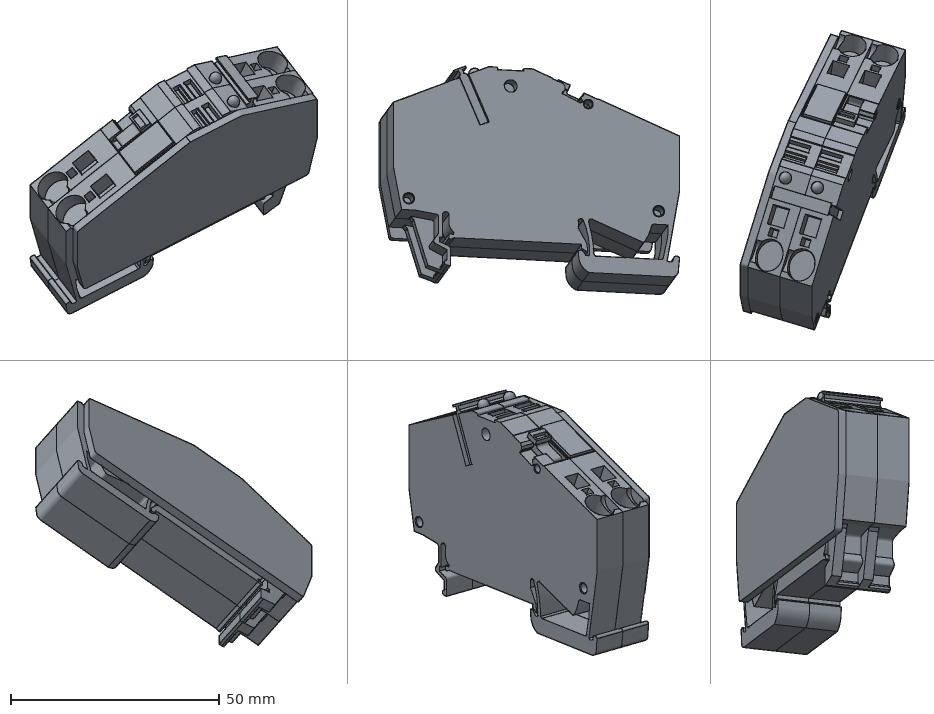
import cadquery as cq
import math

module_width = 8.1
module_count = 2
end_plate_width = 1.95
half_length = 35
crest_z = 50.0
rear_crest_y = 11.6
front_crest_y = 1.0
rear_slope_end_z = 39.9
front_slope_end_z = 35.1
rear_waist_z = 23.95
front_waist_z = 21.5
rear_wall_foot = (33.0, 13.3)
front_wall_foot = (-32.0, 4.0)
base_z = 6.9

rear_angle = math.degrees(math.atan2(crest_z - rear_slope_end_z, half_length - rear_crest_y))
front_angle = math.degrees(math.atan2(crest_z - front_slope_end_z, half_length + front_crest_y))

plate_top_z = 49.1
plate_bottom_z = 10.6
plate_front_inset = 1.95
plate_corner_radius = 0.85
plate_crest_radius = 2.25

entry_x, entry_y = 4.1, 31.15
entry_width, entry_length, entry_depth = 6.8, 7.85, 5.3
side_relief_start_x, side_relief_radius = 6.7, 2.7
window_x, window_y = 4.6, 22.3
window_width, window_length, window_depth = 4.1, 4.8, 5.8
test_x, test_y = 4.6, 26.1
test_width, test_length, test_depth = 2.2, 1.95, 6.3

channel_front_y, channel_rear_y = 3.1, 9.45
channel_depth, channel_rear_radius = 0.6, 0.4
groove_start_x = 2.65
groove_edges = ((8.75, 6.8), (3.85, 5.8))
groove_depth, groove_step_depth, groove_step_width = 1.8, 0.9, 0.55

slot_y = 17.65
slot_width, slot_depth = 2.4, 12.6
strip_start_x, strip_length = 1.05, 14.4
strip_clearance = 0.2
strip_shoulder, strip_neck_width, strip_neck_start = 0.3, 1.0, 0.85
strip_cap_width, strip_cap_start, strip_cap_thickness = 3.1, 1.8, 0.5

lamp_x, lamp_y = 5.75, 13.8
lamp_radius, lamp_collar, lamp_depth = 1.5, 0.5, 1.4

seat_start_y, seat_end_y = -3.85, -15.1
seat_width, seat_depth = 7.9, 0.15
cover_start_x, cover_end_x = 0.2, 7.5
cover_margin, cover_height = 0.2, 0.6

tray_start_x, tray_end_x = 3.7, 7.5
tray_start_y, tray_end_y = -7.0, -14.9
tray_depth, tray_end_radius = 2.65, 1.05
tongue_start_y, tongue_end_y = -8.3, -13.7
tongue_top_depth, tongue_radius = 1.0, 0.7
knob_start_x, knob_start_y, knob_end_y = 3.1, -5.45, -8.4
knob_height = 1.25
knob_pocket_start_y, knob_pocket_end_y, knob_pocket_depth = -6.5, -7.9, 0.9

sockets = (
    (6.3, 45.4, 1.55, 0),
    (-12.7, 41.9, 1.0, 0.2),
    (31.2, 16.2, 1.2, 0.2),
    (-29.9, 16.2, 1.2, 0.2),
)
socket_depth = 3.5

clip_web_thickness = 2.5
margin = 1.4


def box(x_range, y_range, z_range):
    """Box between the given limits."""
    size = [max(r) - min(r) for r in (x_range, y_range, z_range)]
    corner = [min(r) for r in (x_range, y_range, z_range)]
    return cq.Workplane("XY").box(*size, centered=False).translate(tuple(corner))


def prism(points, start_x, width):
    """Polygon in the YZ plane extruded along +X."""
    return cq.Workplane("YZ", origin=(start_x, 0, 0)).polyline(points).close().extrude(width)


def rear_place(shape, y):
    """Move a shape from the origin to the rear slope at y, Z becoming the slope normal."""
    z = crest_z - (y - rear_crest_y) * math.tan(math.radians(rear_angle))
    return shape.rotate((0, 0, 0), (1, 0, 0), -rear_angle).translate((0, y, z))


def front_place(shape, y):
    """Move a shape from the origin to the front slope at y, Z becoming the slope normal."""
    z = crest_z - (front_crest_y - y) * math.tan(math.radians(front_angle))
    return shape.rotate((0, 0, 0), (1, 0, 0), front_angle).translate((0, y, z))


def front_run(start_y, end_y):
    """Distance along the front slope between two Y positions."""
    return (start_y - end_y) / math.cos(math.radians(front_angle))


def nearest_edge(x, y, z):
    """Selector for the edge whose centre is nearest to a point."""
    return cq.selectors.NearestToPointSelector((x, y, z))


def housing_body():
    """Side outline with the clip leg at the rear and the release foot at the front."""
    outline = (
        cq.Workplane("YZ")
        .moveTo(half_length, rear_waist_z)
        .lineTo(half_length, rear_slope_end_z)
        .lineTo(rear_crest_y, crest_z)
        .lineTo(front_crest_y, crest_z)
        .lineTo(-half_length, front_slope_end_z)
        .lineTo(-half_length, front_waist_z)
        .lineTo(*front_wall_foot)
        .threePointArc((-32.7, 3.7), (-33.5, 4.5))
        .threePointArc((-34.3, 5.25), (-35.0, 4.7))
        .lineTo(-34.7, 1.9)
        .threePointArc((-34.4, 0.6), (-33.3, 0))
        .lineTo(-12.9, 0)
        .threePointArc((-11.3, 1.25), (-10.35, 3.4))
        .lineTo(-10.2, 5.4)
        .lineTo(-11.3, 5.4)
        .lineTo(-12.05, 4.35)
        .threePointArc((-12.5, 4.2), (-12.95, 4.5))
        .threePointArc((-12.6, 9.2), (-11.4, 13.0))
        .threePointArc((-10.8, 13.3), (-10.2, 12.8))
        .lineTo(-10.2, 10.9)
        .lineTo(-12.3, 7.2)
        .lineTo(-12.5, 5.05)
        .lineTo(-11.05, 5.95)
        .lineTo(-11.05, base_z)
        .lineTo(20.1, base_z)
        .lineTo(20.9, 6.5)
        .lineTo(21.4, 6.7)
        .lineTo(21.4, 7.8)
        .lineTo(20.3, 7.8)
        .lineTo(20.15, 8.25)
        .threePointArc((20.9, 9.1), (21.4, 10.5))
        .lineTo(21.4, 12.75)
        .threePointArc((22.2, 13.3), (22.95, 12.75))
        .lineTo(22.95, base_z)
        .lineTo(23.65, base_z)
        .lineTo(23.65, 5.75)
        .lineTo(21.55, 4.9)
        .threePointArc((21.15, 4.55), (21.0, 4.05))
        .lineTo(21.0, 0)
        .lineTo(21.8, 0)
        .lineTo(22.5, 0.35)
        .lineTo(22.5, 1.0)
        .lineTo(21.85, 1.55)
        .lineTo(21.85, 3.85)
        .lineTo(24.85, 5.3)
        .threePointArc((25.1, 5.8), (25.0, 6.4))
        .lineTo(23.95, 7.85)
        .lineTo(23.95, 11.9)
        .threePointArc((24.15, 12.4), (24.7, 12.6))
        .lineTo(29.6, 13.3)
        .lineTo(*rear_wall_foot)
        .close()
    )
    return outline.extrude(module_width)


def foot_window():
    """Opening between the legs of the release foot."""
    outline = (
        cq.Workplane("YZ", origin=(-margin, 0, 0))
        .moveTo(-12.75, 12.5)
        .threePointArc((-13.0, 13.2), (-13.8, 13.2))
        .lineTo(-25.75, 8.3)
        .threePointArc((-26.25, 8.25), (-26.5, 8.55))
        .lineTo(-27.45, 10.2)
        .lineTo(-28.2, 12.45)
        .threePointArc((-28.4, 12.75), (-28.8, 12.9))
        .lineTo(-32.2, 12.9)
        .lineTo(-32.05, 9.7)
        .lineTo(-31.0, 4.6)
        .lineTo(-30.65, 4.2)
        .lineTo(-14.5, 4.2)
        .lineTo(-14.1, 4.6)
        .threePointArc((-13.65, 8.55), (-12.75, 12.5))
        .close()
    )
    return outline.extrude(module_width + 2 * margin)


def clip_web():
    """Web that stiffens the clip leg on its +X side."""
    points = [(29.6, 13.3), (28.9, 12.45), (25.5, 1.3), (22.5, 0.35), (21.8, 0.35), (21.8, 4.55),
              (24.15, 5.6), (23.45, 7.35), (23.45, 13.3)]
    return prism(points, module_width - clip_web_thickness, clip_web_thickness)


def top_channel():
    """Shallow channel across the flat top."""
    floor = crest_z - channel_depth
    rim_y = channel_rear_y + channel_rear_radius
    bend = channel_rear_radius * (1 - math.sqrt(0.5))
    outline = (
        cq.Workplane("YZ")
        .moveTo(channel_front_y, crest_z)
        .lineTo(channel_front_y, floor)
        .lineTo(channel_rear_y, floor)
        .lineTo(channel_rear_y, crest_z - channel_rear_radius)
        .threePointArc((channel_rear_y + bend, crest_z - bend), (rim_y, crest_z))
        .close()
    )
    return outline.extrude(module_width)


def vent_groove(plain_y, stepped_y):
    """Groove below the channel floor, open at the +X side, with one plain and one stepped wall."""
    top = crest_z - channel_depth
    step = top - groove_step_depth
    floor = top - groove_depth
    inner_y = stepped_y - math.copysign(groove_step_width, stepped_y - plain_y)
    points = [(plain_y, top), (plain_y, floor), (inner_y, floor), (inner_y, step),
              (stepped_y, step), (stepped_y, top)]
    return prism(points, groove_start_x, module_width - groove_start_x)


def slope_openings(place, side):
    """Wire entry, side relief, window and test opening of one slope; side is +1 rear, -1 front."""
    entry = (cq.Workplane("XY").center(entry_x, 0).ellipse(entry_width / 2, entry_length / 2)
             .extrude(entry_depth + margin).translate((0, 0, -entry_depth)))
    relief = (cq.Workplane("YZ", origin=(side_relief_start_x, 0, 0)).circle(side_relief_radius)
              .extrude(module_width - side_relief_start_x))
    window = box((window_x - window_width / 2, window_x + window_width / 2),
                 (-window_length / 2, window_length / 2), (-window_depth, margin))
    test = box((test_x - test_width / 2, test_x + test_width / 2),
               (-test_length / 2, test_length / 2), (-test_depth, margin))
    return [place(entry, side * entry_y), place(relief, side * entry_y),
            place(window, side * window_y), place(test, side * test_y)]


def strip_slot():
    """Slot across the module, square to the rear slope."""
    slot = box((-margin, module_width + margin), (-slot_width / 2, slot_width / 2), (-slot_depth, margin))
    return rear_place(slot, slot_y)


def socket(y, z, radius, chamfer):
    """Blind round hole in the -X side, with an optional chamfered mouth."""
    hole = cq.Workplane("YZ").center(y, z).circle(radius).extrude(socket_depth)
    if chamfer > 0:
        cone = cq.Solid.makeCone(radius + chamfer, radius, chamfer, cq.Vector(0, y, z), cq.Vector(1, 0, 0))
        hole = hole.union(cq.Workplane(cone))
    return hole


def lamp_blank():
    """Round bar filling the lamp hole up to the collar."""
    return (cq.Workplane("XY").center(lamp_x, 0).circle(lamp_radius)
            .extrude(lamp_depth + lamp_collar).translate((0, 0, -lamp_depth)))


def front_seat():
    """Shallow rectangular seat in the front slope."""
    run = front_run(seat_start_y, seat_end_y)
    seat = box((0, seat_width), (-run, 0), (-seat_depth, margin))
    return front_place(seat, seat_start_y)


def housing():
    """Module housing at X = 0 with the features common to all modules."""
    body = housing_body().cut(foot_window()).union(clip_web()).cut(top_channel())
    for plain_y, stepped_y in groove_edges:
        body = body.cut(vent_groove(plain_y, stepped_y))
    for cutter in slope_openings(rear_place, 1) + slope_openings(front_place, -1):
        body = body.cut(cutter)
    for y, z, radius, chamfer in sockets:
        body = body.cut(socket(y, z, radius, chamfer))
    return body.cut(strip_slot()).cut(rear_place(lamp_blank(), lamp_y)).cut(front_seat())


def side_notch():
    """Notch in the -X side of the first module that exposes the slider tongue."""
    points = [(-6.0, crest_z), (-6.4, 46.9), (-7.0, 46.0), (-7.0, 45.15), (-6.4, 44.6), (-6.2, 44.2),
              (-10.7, 42.1), (-11.35, 42.55), (-10.9, 43.25), (-10.9, 43.7), (-11.6, 44.2), (-11.6, crest_z)]
    return prism(points, 0, tray_start_x)


def slider_tray():
    """Recess for the slider tongue, with a rounded lower end."""
    run = front_run(tray_start_y, tray_end_y)
    tray = box((tray_start_x, tray_end_x), (-run, 0), (-tray_depth, margin))
    tray = tray.edges("<Y and <Z").fillet(tray_end_radius)
    return front_place(tray, tray_start_y)


def slider_tongue():
    """Tongue and neck of the slider in the tray, rounded at the free end and at the root."""
    x_range = (tray_start_x, tray_end_x)
    root = -front_run(tray_start_y, tongue_start_y)
    run = front_run(tray_start_y, tongue_end_y)
    neck = box(x_range, (root, 0), (-tray_depth, -seat_depth))
    tongue = box(x_range, (-run, 0), (-tray_depth, -tongue_top_depth)).union(neck)
    middle_x = (tray_start_x + tray_end_x) / 2
    for y in (-run, root):
        tongue = tongue.edges(nearest_edge(middle_x, y, -tongue_top_depth)).fillet(tongue_radius)
    return front_place(tongue, tray_start_y)


def slider_knob():
    """Raised grip with a pocket in its top, standing on the seat."""
    run = front_run(knob_start_y, knob_end_y)
    pocket_start = front_run(knob_start_y, knob_pocket_start_y)
    pocket_end = front_run(knob_start_y, knob_pocket_end_y)
    knob = box((knob_start_x, seat_width), (-run, 0), (-seat_depth, knob_height))
    pocket = box((tray_start_x, tray_end_x), (-pocket_end, -pocket_start),
                 (knob_height - knob_pocket_depth, knob_height + margin))
    return front_place(knob.cut(pocket), knob_start_y)


def slider():
    """Tongue, neck and grip."""
    return slider_tongue().union(slider_knob())


def cover():
    """Flat lid in the seat of the second module."""
    run = front_run(seat_start_y, seat_end_y)
    lid = box((module_width + cover_start_x, module_width + cover_end_x),
              (-run + cover_margin, -cover_margin), (-seat_depth, cover_height))
    return front_place(lid, seat_start_y)


def marker_strip():
    """Strip of T section standing in the slot."""
    blade = slot_width / 2
    neck = strip_neck_width / 2
    cap = strip_cap_width / 2
    cap_top = strip_cap_start + strip_cap_thickness
    front_half = [(-blade, -slot_depth), (-blade, strip_shoulder), (-neck, strip_neck_start),
                  (-neck, strip_cap_start), (-cap, strip_cap_start), (-cap, cap_top)]
    rear_half = [(-y, z) for y, z in reversed(front_half[2:])]
    rear_blade = blade - strip_clearance
    points = front_half + rear_half + [(rear_blade, strip_shoulder), (rear_blade, -slot_depth)]
    return rear_place(prism(points, strip_start_x, strip_length), slot_y)


def lamp():
    """Round lamp with a domed end."""
    dome = cq.Workplane("XY").sphere(lamp_radius).translate((lamp_x, 0, lamp_collar))
    return rear_place(lamp_blank().union(dome), lamp_y)


def end_plate():
    """Flat plate closing the +X side, following the slopes of the modules."""
    rear_lean = (half_length - rear_wall_foot[0]) / (rear_waist_z - rear_wall_foot[1])
    front_lean = (half_length + front_wall_foot[0]) / (front_waist_z - front_wall_foot[1])
    front_y = -half_length + plate_front_inset
    rear_drop = (crest_z - plate_top_z) / math.tan(math.radians(rear_angle))
    front_drop = (crest_z - plate_top_z) / math.tan(math.radians(front_angle))
    rear_end = (half_length, rear_slope_end_z)
    rear_crest = (rear_crest_y + rear_drop, plate_top_z)
    front_crest = (front_crest_y - front_drop, plate_top_z)
    front_end_z = front_slope_end_z + plate_front_inset * math.tan(math.radians(front_angle))
    front_end = (front_y, front_end_z)
    front_bottom = (front_y + (front_waist_z - plate_bottom_z) * front_lean, plate_bottom_z)
    rear_bottom = (half_length - (rear_waist_z - plate_bottom_z) * rear_lean, plate_bottom_z)
    points = [(half_length, rear_waist_z), rear_end, rear_crest, front_crest, front_end,
              (front_y, front_waist_z), front_bottom, rear_bottom]
    plate = prism(points, module_count * module_width, end_plate_width)
    middle_x = module_count * module_width + end_plate_width / 2
    for corner in (rear_end, front_end, front_bottom, rear_bottom):
        plate = plate.edges(nearest_edge(middle_x, *corner)).fillet(plate_corner_radius)
    return plate.edges(nearest_edge(middle_x, *rear_crest)).fillet(plate_crest_radius)


housings = []
lamps = []
for index in range(module_count):
    offset = (index * module_width, 0, 0)
    housings.append(housing().translate(offset))
    lamps.append(lamp().translate(offset))

housings[0] = housings[0].cut(slider_tray()).cut(side_notch())

bodies = housings + lamps + [marker_strip(), slider(), cover(), end_plate()]
result = cq.Compound.makeCompound([body.solids().val() for body in bodies])